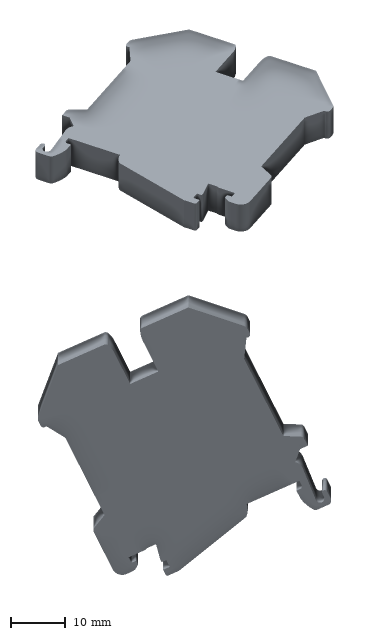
import cadquery as cq
import math

height = 45.8
thickness = 6.2
half_width = 21.25
half_waist = 18.05

head_half_width = 21.1
head_chamfer = 7.95
head_corner_radius = 1.1
head_edge_bottom = 36.45
head_heel = (20.2, 35.9)
waist_top = 32.4
slot_half_width = 2.85
slot_depth = 8.98
slot_lip_half_width = 3.8
slot_flare = (3.15, 45.15)
slot_flare_bottom = 43.5
slot_lip_radius = 0.75
slot_flare_radius = 4.1
head_heel_radius = 0.65

head_corner_setback = head_corner_radius * math.tan(math.radians(22.5))
head_corner_shift = head_corner_setback * math.sin(math.radians(45))
head_corner_bottom = height - head_chamfer - head_corner_setback
head_corner_top = (
    head_half_width - head_corner_shift,
    height - head_chamfer + head_corner_shift,
)

waist_bottom = 15.65
shoulder_knee = (20.95, 14.15)
shoulder_edge_top = 13.55
shoulder_radius = 0.75
shoulder_bottom = 12.05

seat_y = 6.5
seat_right_y = 6.3
seat_step_left = 13.75
seat_step_right = 14.25

notch_outer_x = -19.7
notch_tip = (-17.8, 10.1)
leg_outer_x = -18.5
leg_bend_radius = 2.3
leg_bend_y = 7.92
finger_gap_right = -18.05
finger_gap_radius = 0.8
finger_gap_left = finger_gap_right - 2 * finger_gap_radius
finger_gap_center_y = 1.75
finger_outer_x = -20.6
finger_tip_radius = (finger_gap_left - finger_outer_x) / 2
finger_tip_y = 2.45
finger_corner = 0.9
foot_flat_end = -17.6
toe = (-16.7, 0.5)
toe_radius = 1.0
toe_middle = (-16.05, 1.85)
toe_inner_x = -15.6
toe_curve_top = 3.35
toe_ledge_y = 5.0
leg_inner_x = -16.95
ledge_corner = 0.55

wedge_left_x = -6.27
wedge_root_middle = (-6.0, 5.4)
wedge_root = (-5.15, 4.25)
wedge_flat_start = 10.45
wedge_tip_x = 12.95
wedge_tip_radius = 0.3
wedge_notch_bottom = 1.4
wedge_notch_x = 11.65
wedge_notch_top = 2.9
wedge_barb_x = 12.6
wedge_barb_radius = 0.2
wedge_barb_top = 3.5
wedge_right_x = 12.0

hook_inner_x = 17.65
hook_ledge_y = 5.15
hook_tip_x = 16.65
hook_tip_radius = 0.25
hook_tip_bottom = 4.3
hook_slope_end = (17.15, 3.95)
hook_heel_radius = 1.75
hook_flat_start = 18.27
hook_bottom = 3.53
hook_radius = 1.92


def mirrored(point):
    """Reflect a point across the centre plane X = 0."""
    return (-point[0], point[1])


def left_side_and_half_head(path):
    """Up the left shoulder, waist and head to the bottom left of the top slot."""
    return (
        path.lineTo(-half_width, shoulder_edge_top)
        .radiusArc(mirrored(shoulder_knee), shoulder_radius)
        .lineTo(-half_waist, waist_bottom)
        .lineTo(-half_waist, waist_top)
        .lineTo(*mirrored(head_heel))
        .radiusArc((-head_half_width, head_edge_bottom), head_heel_radius)
        .lineTo(-head_half_width, head_corner_bottom)
        .radiusArc(mirrored(head_corner_top), head_corner_radius)
        .lineTo(head_chamfer - head_half_width, height)
        .lineTo(-slot_lip_half_width, height)
        .radiusArc(mirrored(slot_flare), slot_lip_radius)
        .radiusArc((-slot_half_width, slot_flare_bottom), slot_flare_radius)
        .lineTo(-slot_half_width, height - slot_depth)
    )


def half_head_and_right_side(path):
    """From the slot floor over the right half of the head, down to the right shoulder."""
    return (
        path.lineTo(slot_half_width, height - slot_depth)
        .lineTo(slot_half_width, slot_flare_bottom)
        .radiusArc(slot_flare, slot_flare_radius)
        .radiusArc((slot_lip_half_width, height), slot_lip_radius)
        .lineTo(head_half_width - head_chamfer, height)
        .lineTo(*head_corner_top)
        .radiusArc((head_half_width, head_corner_bottom), head_corner_radius)
        .lineTo(head_half_width, head_edge_bottom)
        .radiusArc(head_heel, head_heel_radius)
        .lineTo(half_waist, waist_top)
        .lineTo(half_waist, waist_bottom)
        .lineTo(*shoulder_knee)
        .radiusArc((half_width, shoulder_edge_top), shoulder_radius)
    )


def right_hook(path):
    """Down the right edge, round the hook and along the rail seat to the wedge."""
    return (
        path.lineTo(half_width, hook_bottom + hook_radius)
        .radiusArc((half_width - hook_radius, hook_bottom), hook_radius)
        .lineTo(hook_flat_start, hook_bottom)
        .radiusArc(hook_slope_end, hook_heel_radius)
        .lineTo(hook_tip_x, hook_tip_bottom)
        .lineTo(hook_tip_x, hook_ledge_y - hook_tip_radius)
        .radiusArc((hook_tip_x + hook_tip_radius, hook_ledge_y), hook_tip_radius)
        .lineTo(hook_inner_x, hook_ledge_y)
        .lineTo(hook_inner_x, seat_right_y)
        .lineTo(seat_step_right, seat_right_y)
        .lineTo(seat_step_left, seat_y)
        .lineTo(wedge_right_x, seat_y)
    )


def wedge(path):
    """Down the notched right side of the wedge and back up its sloping underside."""
    return (
        path.lineTo(wedge_barb_x, wedge_barb_top)
        .lineTo(wedge_barb_x, wedge_notch_top + wedge_barb_radius)
        .radiusArc((wedge_barb_x - wedge_barb_radius, wedge_notch_top), wedge_barb_radius)
        .lineTo(wedge_notch_x, wedge_notch_top)
        .lineTo(wedge_notch_x, wedge_notch_bottom)
        .lineTo(wedge_tip_x, wedge_notch_bottom)
        .lineTo(wedge_tip_x, wedge_tip_radius)
        .radiusArc((wedge_tip_x - wedge_tip_radius, 0), wedge_tip_radius)
        .lineTo(wedge_flat_start, 0)
        .lineTo(*wedge_root)
        .threePointArc(wedge_root_middle, (wedge_left_x, seat_y))
    )


def left_foot(path):
    """Along the rail seat, round the toe and finger, and up the leg to the left notch."""
    return (
        path.lineTo(leg_inner_x, seat_y)
        .lineTo(leg_inner_x, toe_ledge_y + ledge_corner)
        .radiusArc((leg_inner_x + ledge_corner, toe_ledge_y), -ledge_corner)
        .lineTo(toe_inner_x, toe_ledge_y)
        .lineTo(toe_inner_x, toe_curve_top)
        .threePointArc(toe_middle, toe)
        .radiusArc((foot_flat_end, 0), toe_radius)
        .lineTo(finger_outer_x + finger_corner, 0)
        .radiusArc((finger_outer_x, finger_corner), finger_corner)
        .lineTo(finger_outer_x, finger_tip_y)
        .threePointArc(
            (finger_outer_x + finger_tip_radius, finger_tip_y + finger_tip_radius),
            (finger_gap_left, finger_tip_y),
        )
        .lineTo(finger_gap_left, finger_gap_center_y)
        .threePointArc(
            (finger_gap_left + finger_gap_radius, finger_gap_center_y - finger_gap_radius),
            (finger_gap_right, finger_gap_center_y),
        )
        .lineTo(leg_outer_x, leg_bend_y)
        .radiusArc(notch_tip, leg_bend_radius)
        .lineTo(notch_outer_x, shoulder_bottom)
    )


outline = cq.Workplane("XY").moveTo(-half_width, shoulder_bottom)
for section in (left_side_and_half_head, half_head_and_right_side, right_hook, wedge, left_foot):
    outline = section(outline)

result = outline.close().extrude(thickness)